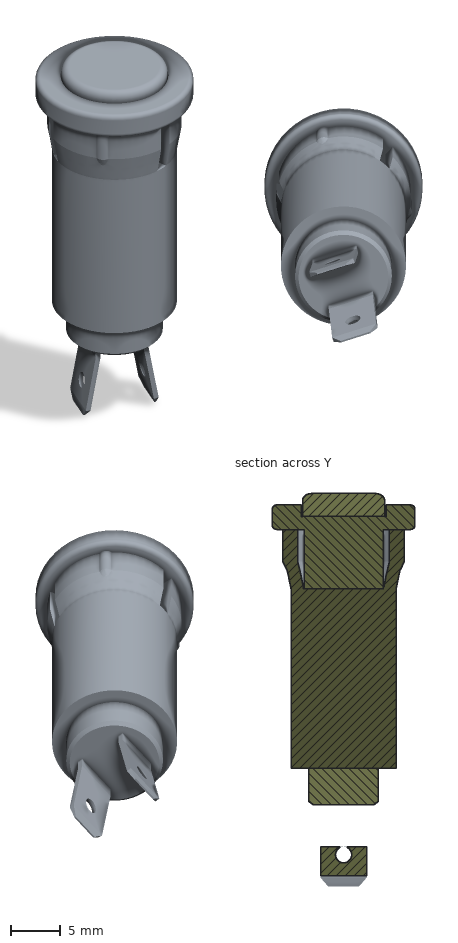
import cadquery as cq
import math

TOTAL_HEIGHT = 39.65
BUTTON_HEIGHT = 1.15
FLANGE_HEIGHT = 2.55
RECESS_DEPTH = 1.2
COLLAR_HEIGHT = 3.2
COLLAR_TAPER_HEIGHT = 2.75
BARREL_HEIGHT = 18.12
BASE_HEIGHT = 3.7
TERMINAL_STRAIGHT = 1.2

FLANGE_TOP = TOTAL_HEIGHT - BUTTON_HEIGHT
FLANGE_BOTTOM = FLANGE_TOP - FLANGE_HEIGHT
RECESS_FLOOR = FLANGE_TOP - RECESS_DEPTH
COLLAR_BOTTOM = FLANGE_BOTTOM - COLLAR_HEIGHT
BARREL_TOP = COLLAR_BOTTOM - COLLAR_TAPER_HEIGHT
BARREL_BOTTOM = BARREL_TOP - BARREL_HEIGHT
BASE_BOTTOM = BARREL_BOTTOM - BASE_HEIGHT
BEND_HEIGHT = BASE_BOTTOM - TERMINAL_STRAIGHT

BUTTON_RADIUS = 5.35
BUTTON_ROUND = 0.75
BUTTON_GAP = 0.08
FLANGE_DIAMETER = 15.95
FLANGE_ROUND = 0.48

COLLAR_RADIUS = 6.8
BARREL_RADIUS = 6.3
FINGER_THICKNESS = 1.07
STEM_RADIUS = BARREL_RADIUS - FINGER_THICKNESS
SLOT_WIDTH = 1.3
SLOT_ANGLES = (30, 150, 270)
RIB_RADIUS = 0.85
RIB_REACH = 7.0
RIB_LEAN_ANGLE = 24.0

BASE_RADIUS = 4.88
BASE_CHAMFER = 0.35

TERMINAL_WIDTH = 4.68
TERMINAL_THICKNESS = 0.5
TERMINAL_OFFSET = 2.58
TERMINAL_TILT = 10.0
TIP_LENGTH = 0.95
TIP_TAPER_ANGLE = 10.0
TIP_CORNER = 0.8
HOLE_RADIUS = 0.8
HOLE_DISTANCE = 3.9


def make_disc(radius, bottom, top):
    return cq.Workplane("XY").workplane(offset=bottom).circle(radius).extrude(top - bottom)


def make_button():
    return make_disc(BUTTON_RADIUS, RECESS_FLOOR, TOTAL_HEIGHT).faces(">Z").edges().fillet(BUTTON_ROUND)


def make_bezel():
    """Rounded flange with a recess for the button and a stem that fills the middle of the collar."""
    flange = make_disc(FLANGE_DIAMETER / 2, FLANGE_BOTTOM, FLANGE_TOP).edges().fillet(FLANGE_ROUND)
    recess = make_disc(BUTTON_RADIUS + BUTTON_GAP, RECESS_FLOOR, FLANGE_TOP)
    stem = make_disc(STEM_RADIUS, BARREL_TOP, FLANGE_BOTTOM)
    return flange.cut(recess).union(stem)


def make_collar_form(inset):
    """Solid collar, straight above and tapered below, with its outside moved inward by the inset."""
    upper = COLLAR_RADIUS - inset
    lower = BARREL_RADIUS - inset
    outline = [
        (0, BARREL_TOP),
        (lower, BARREL_TOP),
        (upper, COLLAR_BOTTOM),
        (upper, FLANGE_BOTTOM),
        (0, FLANGE_BOTTOM),
    ]
    return cq.Workplane("XZ").polyline(outline).close().revolve(360, (0, 0), (0, 1))


def make_rib(angle):
    """Round rib opposite the slot at this angle, leaning inward below to sink into the collar taper."""
    lean = COLLAR_TAPER_HEIGHT * math.tan(math.radians(RIB_LEAN_ANGLE))
    upright = make_disc(RIB_RADIUS, COLLAR_BOTTOM, FLANGE_BOTTOM)
    leaning = (
        cq.Workplane("XY")
        .workplane(offset=COLLAR_BOTTOM)
        .circle(RIB_RADIUS)
        .workplane(offset=-COLLAR_TAPER_HEIGHT)
        .center(lean, 0)
        .circle(RIB_RADIUS)
        .loft(ruled=True)
    )
    rib = upright.union(leaning).translate((RIB_RADIUS - RIB_REACH, 0, 0))
    return rib.rotate((0, 0, 0), (0, 0, 1), angle)


def make_slot(angle):
    """Upright cutter that runs outward from the axis through one side of the collar."""
    slot = cq.Workplane("XY").box(
        RIB_REACH, SLOT_WIDTH, FLANGE_BOTTOM - BARREL_TOP, centered=(False, True, False)
    )
    return slot.translate((0, 0, BARREL_TOP)).rotate((0, 0, 0), (0, 0, 1), angle)


def make_housing():
    """Barrel topped by a hollow collar, which the slots divide into three ribbed fingers."""
    collar = make_collar_form(inset=0)
    for angle in SLOT_ANGLES:
        collar = collar.union(make_rib(angle))
    collar = collar.cut(make_collar_form(inset=FINGER_THICKNESS))
    for angle in SLOT_ANGLES:
        collar = collar.cut(make_slot(angle))
    return make_disc(BARREL_RADIUS, BARREL_BOTTOM, BARREL_TOP).union(collar)


def make_base():
    return make_disc(BASE_RADIUS, BASE_BOTTOM, BARREL_BOTTOM).faces("<Z").edges().chamfer(BASE_CHAMFER)


def make_terminal(angle):
    """Blade bent outward below the base, with a wedge tip, cut corners and a round hole."""
    tilt = math.radians(TERMINAL_TILT)
    half = TERMINAL_THICKNESS / 2
    tip_half = half - TIP_LENGTH * math.tan(math.radians(TIP_TAPER_ANGLE))
    blade_length = (BEND_HEIGHT - tip_half * math.sin(tilt)) / math.cos(tilt)
    taper_start = blade_length - TIP_LENGTH
    miter = half * math.tan(tilt / 2)

    def blade_point(distance, outward):
        """(Y, Z) of a point on the tilted blade, by distance from the bend and outward offset."""
        return (
            -TERMINAL_OFFSET - distance * math.sin(tilt) - outward * math.cos(tilt),
            BEND_HEIGHT - distance * math.cos(tilt) + outward * math.sin(tilt),
        )

    side_outline = [
        (-TERMINAL_OFFSET - half, BASE_BOTTOM),
        blade_point(miter, half),
        blade_point(taper_start, half),
        blade_point(blade_length, tip_half),
        blade_point(blade_length, -tip_half),
        blade_point(taper_start, -half),
        blade_point(-miter, -half),
        (-TERMINAL_OFFSET + half, BASE_BOTTOM),
    ]
    terminal = cq.Workplane("YZ").polyline(side_outline).close().extrude(TERMINAL_WIDTH / 2, both=True)

    blade_plane = cq.Workplane(
        cq.Plane(
            origin=(0, -TERMINAL_OFFSET, BEND_HEIGHT),
            xDir=(1, 0, 0),
            normal=(0, -math.cos(tilt), math.sin(tilt)),
        )
    )
    hole = blade_plane.center(0, -HOLE_DISTANCE).circle(HOLE_RADIUS)
    terminal = terminal.cut(hole.extrude(TERMINAL_THICKNESS, both=True))
    for side in (-1, 1):
        edge = side * TERMINAL_WIDTH / 2
        corner = [
            (edge, -taper_start),
            (edge, -blade_length),
            (edge - side * TIP_CORNER, -blade_length),
        ]
        cutter = blade_plane.polyline(corner).close().extrude(TERMINAL_THICKNESS, both=True)
        terminal = terminal.cut(cutter)
    return terminal.rotate((0, 0, 0), (0, 0, 1), angle)


button = make_button()
bezel = make_bezel()
housing = make_housing()
base = make_base()
terminals = [make_terminal(angle) for angle in (0, 180)]

result = cq.Compound.makeCompound([
    button.val(),
    bezel.val(),
    housing.val(),
    base.val(),
    *[terminal.val() for terminal in terminals],
])